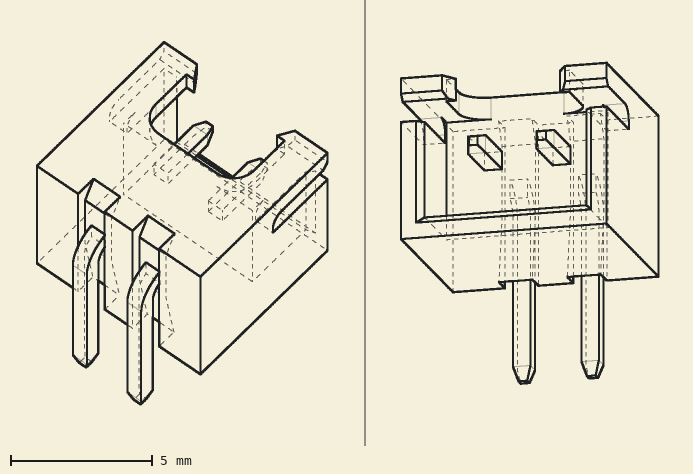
import cadquery as cq
import math


body_width = 7.51
body_depth = 7.0
body_height = 5.9

wall_thickness = 0.8
cavity_depth = 3.18
mouth_chamfer = 0.24
cavity_width = body_width - 2 * wall_thickness
cavity_top = body_height - wall_thickness
cavity_height = cavity_top - wall_thickness
cavity_back = body_depth - cavity_depth

slot_depth = 3.0
slot_height = 0.8
slot_end_radius = 0.5

window_width = 4.5
window_corner_radius = 0.92
hook_length = 0.57
hook_reach = 0.35

pin_count = 2
pin_pitch = 2.5
pin_size = 0.64
pin_tip_size = pin_size / 2
pin_tip_length = 0.5
pin_tip_setback = 0.5
pin_drop_below_body = 3.4
pin_depth_below_top = 2.02
bend_outer_radius = 1.35
bend_inner_radius = bend_outer_radius - pin_size
pin_top = body_height - pin_depth_below_top
pin_xs = [(i - (pin_count - 1) / 2) * pin_pitch for i in range(pin_count)]

groove_width = 1.22
groove_lead_in_depth = 0.85
groove_lead_in_height = 0.8
groove_depth = 0.385
groove_slope_top = 2.5
groove_foot_depth = 0.81


def extrude_across(side_outline, width, x_center):
    """Extrude a closed YZ outline along X, centred on x_center."""
    return side_outline.extrude(width / 2, both=True).translate((x_center, 0, 0))


def make_housing():
    return cq.Workplane("XY").box(body_width, body_depth, body_height, centered=(True, False, False))


def make_cavity():
    """Rectangular pocket whose mouth is flared by a 45 degree chamfer."""
    pocket = cq.Workplane("XY").box(
        cavity_width, cavity_depth, cavity_height, centered=(True, False, False)
    ).translate((0, cavity_back, wall_thickness))
    middle_height = wall_thickness + cavity_height / 2
    flare = (
        cq.Workplane("XZ", origin=(0, body_depth, middle_height))
        .rect(cavity_width + 2 * mouth_chamfer, cavity_height + 2 * mouth_chamfer)
        .workplane(offset=mouth_chamfer)
        .rect(cavity_width, cavity_height)
        .loft(ruled=True)
    )
    return pocket.union(flare)


def make_side_slots():
    """Slot across the full width; its upper edge flares at the mouth like the cavity."""
    slot_back = body_depth - slot_depth
    slot_bottom = cavity_top - slot_height
    arc_offset = slot_end_radius * (1 - math.sqrt(0.5))
    outline = (
        cq.Workplane("YZ")
        .moveTo(body_depth, slot_bottom)
        .lineTo(slot_back, slot_bottom)
        .lineTo(slot_back, cavity_top - slot_end_radius)
        .threePointArc(
            (slot_back + arc_offset, cavity_top - arc_offset),
            (slot_back + slot_end_radius, cavity_top),
        )
        .lineTo(body_depth - mouth_chamfer, cavity_top)
        .lineTo(body_depth, cavity_top + mouth_chamfer)
        .close()
    )
    return extrude_across(outline, body_width, 0)


def make_roof_window():
    """U-shaped opening in the roof, narrowed at the mouth by the two latch hooks."""
    half_width = window_width / 2
    opening = (
        cq.Workplane("XY", origin=(0, 0, cavity_top))
        .rect(window_width, 2 * cavity_depth)
        .extrude(wall_thickness)
        .edges("|Z and <Y")
        .fillet(window_corner_radius)
        .translate((0, body_depth, 0))
    )
    hook_back = body_depth - hook_length
    for side in (-1, 1):
        hook = (
            cq.Workplane("XY", origin=(0, 0, cavity_top))
            .moveTo(side * half_width, body_depth)
            .lineTo(side * (half_width - hook_reach), hook_back)
            .lineTo(side * half_width, hook_back)
            .close()
            .extrude(wall_thickness)
        )
        opening = opening.cut(hook)
    return opening


def make_groove(x_center):
    """Groove with a sloped lead-in at the top and a floor that deepens toward the foot."""
    outline = cq.Workplane("YZ").polyline(
        [
            (0, body_height),
            (groove_lead_in_depth, body_height),
            (groove_depth, body_height - groove_lead_in_height),
            (groove_depth, groove_slope_top),
            (groove_foot_depth, 0),
            (0, 0),
        ]
    ).close()
    return extrude_across(outline, groove_width, x_center)


def make_pin_tip(base_plane):
    """Square pyramid frustum that rises from base_plane."""
    return (
        cq.Workplane(base_plane)
        .rect(pin_size, pin_size)
        .workplane(offset=pin_tip_length)
        .rect(pin_tip_size, pin_tip_size)
        .loft(ruled=True)
    )


def make_pin(x_center):
    """Square bent pin: a leg along Y in the cavity, a rounded bend and a leg down Z."""
    mating_end = body_depth - pin_tip_setback - pin_tip_length
    solder_end = pin_tip_length - pin_drop_below_body
    bend_z = pin_top - bend_outer_radius
    outer_diagonal = bend_outer_radius * math.sqrt(0.5)
    inner_diagonal = bend_inner_radius * math.sqrt(0.5)
    outline = (
        cq.Workplane("YZ")
        .moveTo(mating_end, pin_top)
        .lineTo(bend_inner_radius, pin_top)
        .threePointArc((bend_inner_radius - outer_diagonal, bend_z + outer_diagonal), (-pin_size, bend_z))
        .lineTo(-pin_size, solder_end)
        .lineTo(0, solder_end)
        .lineTo(0, bend_z)
        .threePointArc(
            (bend_inner_radius - inner_diagonal, bend_z + inner_diagonal),
            (bend_inner_radius, pin_top - pin_size),
        )
        .lineTo(mating_end, pin_top - pin_size)
        .close()
    )
    mating_plane = cq.Plane(
        origin=(x_center, mating_end, pin_top - pin_size / 2), xDir=(1, 0, 0), normal=(0, 1, 0)
    )
    solder_plane = cq.Plane(
        origin=(x_center, -pin_size / 2, solder_end), xDir=(1, 0, 0), normal=(0, 0, -1)
    )
    pin = extrude_across(outline, pin_size, x_center)
    return pin.union(make_pin_tip(mating_plane)).union(make_pin_tip(solder_plane))


result = make_housing().cut(make_cavity()).cut(make_side_slots()).cut(make_roof_window())
for pin_x in pin_xs:
    result = result.cut(make_groove(pin_x))
for pin_x in pin_xs:
    result = result.union(make_pin(pin_x))